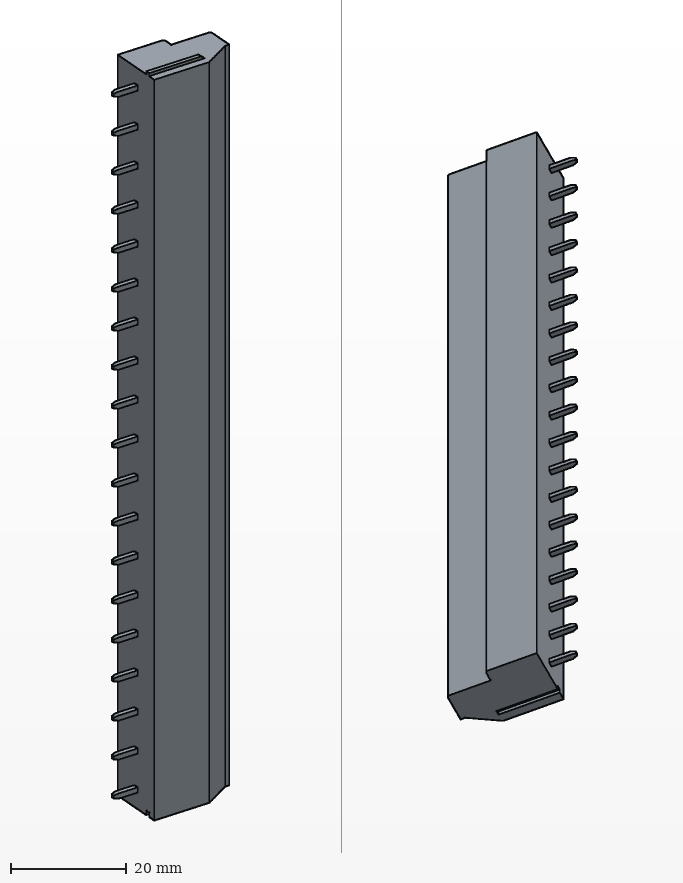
import cadquery as cq


width = 11.2
total_depth = 23.0
total_height = 145.4

housing_depth = 18.0
step_width = 2.2
step_depth = 9.7
roof_edge = 7.9
slope_top_depth = 17.2
slope_bottom_depth = 11.5
edge_radius = 0.51

rail_x = 8.7
rail_width = 0.9
rail_height = 0.6
rail_length = 11.6
rail_ramp = 0.7
groove_depth = 0.9

pin_count = 19
pin_size = 1.0
pin_tip_size = 0.6
pin_tip_length = 0.9
pin_x = 5.7

housing_height = total_height - rail_height
pin_pitch = housing_height / pin_count
pin_length = total_depth - housing_depth
pin_shank_length = pin_length - pin_tip_length


def make_housing():
    """Stepped housing with a sloped shoulder and two rounded -X edges; the pin face lies on Y = 0."""
    profile = [
        (0, 0),
        (width, 0),
        (width, slope_bottom_depth),
        (roof_edge, slope_top_depth),
        (roof_edge, housing_depth),
        (step_width, housing_depth),
        (step_width, step_depth),
        (0, step_depth),
    ]
    housing = cq.Workplane("XY").polyline(profile).close().extrude(housing_height)
    for edge_x, edge_y in [(0, step_depth), (step_width, housing_depth)]:
        edge_middle = (edge_x, edge_y, housing_height / 2)
        housing = housing.edges(cq.NearestToPointSelector(edge_middle)).fillet(edge_radius)
    return housing


def make_rail():
    """Rail on the top end that runs back from the pin face and ends in a ramp."""
    side = [
        (0, housing_height),
        (rail_length, housing_height),
        (rail_length - rail_ramp, total_height),
        (0, total_height),
    ]
    return cq.Workplane("YZ", origin=(rail_x, 0, 0)).polyline(side).close().extrude(rail_width)


def make_groove():
    """Plain slot in the bottom end, under the rail, that takes the rail of the next strip."""
    slot = cq.Workplane("XY").box(rail_width, rail_length, groove_depth, centered=False)
    return slot.translate((rail_x, 0, 0))


def make_pin(center_z):
    """Square pin pointing to -Y, with a tapered tip."""
    root = cq.Workplane("XZ", origin=(pin_x, 0, center_z))
    shank = root.rect(pin_size, pin_size).extrude(pin_shank_length)
    tip = (
        root.workplane(offset=pin_shank_length)
        .rect(pin_size, pin_size)
        .workplane(offset=pin_tip_length)
        .rect(pin_tip_size, pin_tip_size)
        .loft()
    )
    return shank.union(tip)


result = make_housing()
result = result.union(make_rail())
result = result.cut(make_groove())
for index in range(pin_count):
    result = result.union(make_pin((index + 0.5) * pin_pitch))